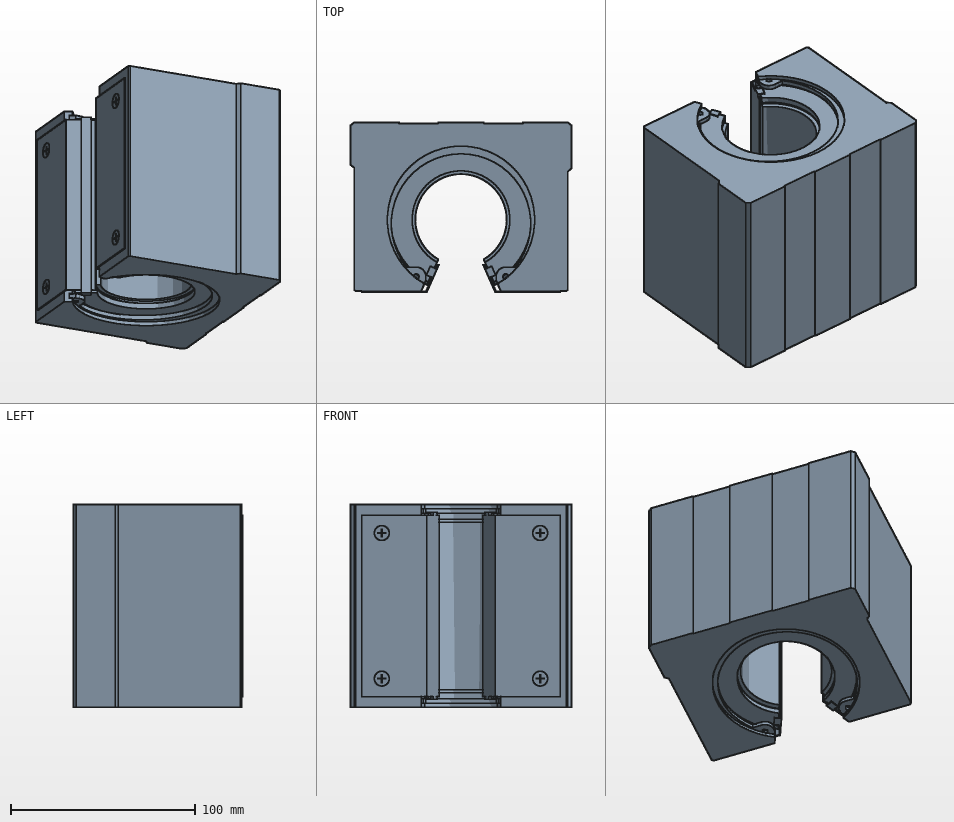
import cadquery as cq
import math


length = 110.0
upper_width = 120.0
lower_width = 116.0
back_y = 52.8
total_depth = 92.2
plate_thickness = 0.6
front_y = back_y - total_depth + plate_thickness
back_corner_depth = 1.7
shoulder_y_left = 29.9
shoulder_y_right = 27.8
front_chamfer = 0.8
relief_inner_x = 12.4
relief_outer_x = 33.6
relief_depth = 0.5
bearing_radius = 40.0

slot_angle = 24.0
slot_tan = math.tan(math.radians(slot_angle))
housing_slot_offset = 4.3
bearing_slot_offset = 2.6
flange_offset = 1.1

bearing_length = 100.5
bearing_bore_radius = 24.7
bearing_mouth_radius = 26.5
mouth_depth = 3.2
undercut_radius = 27.5
undercut_length = 1.5
edge_chamfer_radial = 1.8
edge_chamfer_axial = 3.6

ring_thickness = 2.5
ring_groove_radius = 41.8
ring_inner_radius = 37.8
ring_inner_shift = 2.0
lug_hole_diameter = 3.0
lug_hole_x = 24.2
lug_hole_y = -30.8
lug_radius = 5.2
lug_corner_y = -33.2
lug_corner_cut = 2.8

plate_length = 98.4
plate_outer_x = 53.9
flange_tip_y = -24.4
seal_setback = 2.6
seal_width = 5.3
seal_depth = 4.0
seal_length = 101.5
screw_x = 43.0
screw_z = 39.5
screw_head_diameter = 8.0
screw_slot_length = 4.2
screw_slot_width = 0.4
screw_head_recess = 0.1
screw_slot_depth = 0.2


def prism(workplane_outline, height):
    """Extrude a closed XY outline symmetrically about the mid-plane Z = 0."""
    return workplane_outline.extrude(height / 2, both=True)


def cylinder(radius, height):
    return prism(cq.Workplane("XY").circle(radius), height)


def slot_wall_x(offset, y):
    """Distance from the YZ plane to a leaning slot wall at a given y."""
    return offset - slot_tan * y


def slot_wedge(offset):
    """Wedge that opens the part towards the front."""
    apex_y = offset / slot_tan
    mouth_y = 2 * front_y
    mouth_x = slot_wall_x(offset, mouth_y)
    outline = cq.Workplane("XY").polyline([(0, apex_y), (mouth_x, mouth_y), (-mouth_x, mouth_y)]).close()
    return prism(outline, 2 * length)


def ring_center_z(end):
    return end * (bearing_length + ring_thickness) / 2


def make_housing():
    upper_x = upper_width / 2
    lower_x = lower_width / 2
    corner_y = back_y - back_corner_depth
    outline = cq.Workplane("XY").polyline([
        (-lower_x, back_y),
        (lower_x, back_y),
        (upper_x, corner_y),
        (upper_x, shoulder_y_right),
        (lower_x, shoulder_y_right - back_corner_depth),
        (lower_x, front_y + front_chamfer),
        (lower_x - front_chamfer, front_y),
        (front_chamfer - lower_x, front_y),
        (-lower_x, front_y + front_chamfer),
        (-lower_x, shoulder_y_left - back_corner_depth),
        (-upper_x, shoulder_y_left),
        (-upper_x, corner_y),
    ]).close()
    body = prism(outline, length)

    relief_width = relief_outer_x - relief_inner_x
    for side in (-1, 1):
        relief = cq.Workplane("XY").box(relief_width, 2 * relief_depth, length)
        relief_x = side * (relief_inner_x + relief_outer_x) / 2
        body = body.cut(relief.translate((relief_x, back_y, 0)))

    body = body.cut(cylinder(bearing_radius, length)).cut(slot_wedge(housing_slot_offset))
    for end in (-1, 1):
        groove = cylinder(ring_groove_radius, ring_thickness)
        body = body.cut(groove.translate((0, 0, ring_center_z(end))))
    return body


def seal_outline():
    """Right-hand seal strip: a rectangle flush with the outer flange face."""
    wall = math.radians(slot_angle)
    along_x, along_y = math.sin(wall), -math.cos(wall)
    inward_x, inward_y = math.cos(wall), math.sin(wall)
    start_x = slot_wall_x(flange_offset, flange_tip_y) + seal_setback * along_x
    start_y = flange_tip_y + seal_setback * along_y
    return cq.Workplane("XY").polyline([
        (start_x, start_y),
        (start_x + seal_width * along_x, start_y + seal_width * along_y),
        (start_x + seal_width * along_x + seal_depth * inward_x,
         start_y + seal_width * along_y + seal_depth * inward_y),
        (start_x + seal_depth * inward_x, start_y + seal_depth * inward_y),
    ]).close()


def make_right_seal_plate():
    outer_y = front_y - plate_thickness
    inner_offset = flange_offset + plate_thickness / math.cos(math.radians(slot_angle))
    outline = cq.Workplane("XY").polyline([
        (plate_outer_x, front_y),
        (plate_outer_x, outer_y),
        (slot_wall_x(flange_offset, outer_y), outer_y),
        (slot_wall_x(flange_offset, flange_tip_y), flange_tip_y),
        (slot_wall_x(inner_offset, flange_tip_y), flange_tip_y),
        (slot_wall_x(inner_offset, front_y), front_y),
    ]).close()
    plate = prism(outline, plate_length).union(prism(seal_outline(), seal_length))

    for end in (-1, 1):
        face = cq.Workplane("XZ", origin=(screw_x, outer_y, end * screw_z))
        head = face.circle(screw_head_diameter / 2).extrude(-screw_head_recess)
        wide_slot = face.rect(screw_slot_length, screw_slot_width).extrude(-screw_slot_depth)
        tall_slot = face.rect(screw_slot_width, screw_slot_length).extrude(-screw_slot_depth)
        plate = plate.cut(head).cut(wide_slot).cut(tall_slot)
    return plate


def make_bearing():
    half = bearing_length / 2
    mouth_z = half - mouth_depth
    bore_z = mouth_z - undercut_length
    rim_radius = bearing_radius - edge_chamfer_radial
    rim_z = half - edge_chamfer_axial
    profile = cq.Workplane("XZ").polyline([
        (bearing_mouth_radius, half),
        (rim_radius, half),
        (bearing_radius, rim_z),
        (bearing_radius, -rim_z),
        (rim_radius, -half),
        (bearing_mouth_radius, -half),
        (bearing_mouth_radius, -mouth_z),
        (undercut_radius, -mouth_z),
        (undercut_radius, -bore_z),
        (bearing_bore_radius, -bore_z),
        (bearing_bore_radius, bore_z),
        (undercut_radius, bore_z),
        (undercut_radius, mouth_z),
        (bearing_mouth_radius, mouth_z),
    ]).close()
    body = profile.revolve(360, (0, 0, 0), (0, 1, 0)).cut(slot_wedge(bearing_slot_offset))

    right_seal_groove = prism(seal_outline(), length)
    return body.cut(right_seal_groove).cut(right_seal_groove.mirror("YZ"))


def make_retaining_ring():
    """Eccentric internal ring whose open ends carry lugs with plier holes."""
    tip_x = lug_hole_x - lug_radius
    cut_x = tip_x + lug_corner_cut
    lug_top_y = lug_hole_y + lug_radius
    disc = cylinder(ring_groove_radius, ring_thickness)
    window = cylinder(ring_inner_radius, ring_thickness).translate((0, -ring_inner_shift, 0))

    beyond = 2 * ring_groove_radius
    opening = cq.Workplane("XY").center(0, -beyond / 2).rect(2 * cut_x, beyond)
    ring = disc.cut(window).cut(prism(opening, ring_thickness))
    arc_middle = lug_radius / math.sqrt(2)
    for side in (-1, 1):
        lug = (
            cq.Workplane("XY")
            .moveTo(side * cut_x, -beyond)
            .lineTo(side * cut_x, lug_corner_y - lug_corner_cut)
            .lineTo(side * tip_x, lug_corner_y)
            .lineTo(side * tip_x, lug_hole_y)
            .threePointArc(
                (side * (lug_hole_x - arc_middle), lug_hole_y + arc_middle),
                (side * lug_hole_x, lug_top_y),
            )
            .lineTo(side * beyond, lug_top_y)
            .lineTo(side * beyond, -beyond)
            .close()
        )
        ring = ring.union(prism(lug, ring_thickness).intersect(disc))
    holes = cq.Workplane("XY").pushPoints([(-lug_hole_x, lug_hole_y), (lug_hole_x, lug_hole_y)])
    return ring.cut(prism(holes.circle(lug_hole_diameter / 2), ring_thickness))


housing = make_housing()
bearing = make_bearing()
right_seal_plate = make_right_seal_plate()
seal_plates = [right_seal_plate, right_seal_plate.mirror("YZ")]
retaining_rings = []
for end in (-1, 1):
    retaining_rings.append(make_retaining_ring().translate((0, 0, ring_center_z(end))))

result = cq.Compound.makeCompound([
    housing.val(),
    bearing.val(),
    *[plate.val() for plate in seal_plates],
    *[ring.val() for ring in retaining_rings],
])